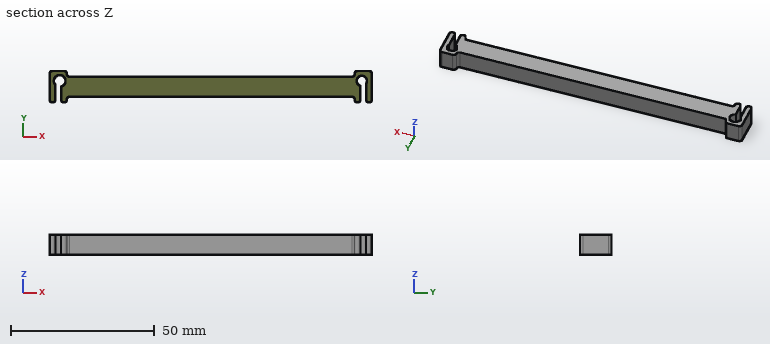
import cadquery as cq

length = 112.0
thickness = 7.0
bar_width = 7.0

arm_width = 2.0
slot_width = 2.0
clip_step = 2.0

step_radius = clip_step / 2
tip_radius = arm_width / 2

left_relief_radius = 2.0
right_relief_radius = 1.75
relief_inset = 3.5

end_x = length / 2
bar_y = bar_width / 2
back_y = bar_y + clip_step
tip_y = -back_y
arm_inner_x = end_x - arm_width
post_outer_x = arm_inner_x - slot_width
post_inner_x = post_outer_x - 2 * tip_radius
relief_x = end_x - relief_inset
relief_y = back_y - relief_inset


def make_half_body():
    """Half of the bar from the middle to the +X end, with its slot open toward -Y."""
    joint_x = post_inner_x - step_radius
    post_tip_x = post_inner_x + tip_radius
    arm_tip_x = arm_inner_x + tip_radius
    tip_start_y = tip_y + tip_radius
    outline = (
        cq.Workplane("XY", origin=(0, 0, -thickness / 2))
        .moveTo(0, -bar_y)
        .lineTo(joint_x, -bar_y)
        .tangentArcPoint((post_inner_x, -bar_y - step_radius), relative=False)
        .threePointArc((post_tip_x, tip_y), (post_outer_x, tip_start_y))
        .lineTo(post_outer_x, relief_y)
        .lineTo(arm_inner_x, relief_y)
        .lineTo(arm_inner_x, tip_start_y)
        .threePointArc((arm_tip_x, tip_y), (end_x, tip_start_y))
        .lineTo(end_x, back_y - step_radius)
        .tangentArcPoint((end_x - step_radius, back_y), relative=False)
        .lineTo(post_inner_x + step_radius, back_y)
        .tangentArcPoint((post_inner_x, back_y - step_radius), relative=False)
        .tangentArcPoint((joint_x, bar_y), relative=False)
        .lineTo(0, bar_y)
        .close()
    )
    return outline.extrude(thickness)


def make_relief(x, radius):
    """Round through hole that widens the closed end of a slot."""
    return (
        cq.Workplane("XY", origin=(x, relief_y, -thickness / 2))
        .circle(radius)
        .extrude(thickness)
    )


half_body = make_half_body()
body = half_body.union(half_body.mirror("YZ")).clean()
body = body.cut(make_relief(-relief_x, left_relief_radius))
result = body.cut(make_relief(relief_x, right_relief_radius))